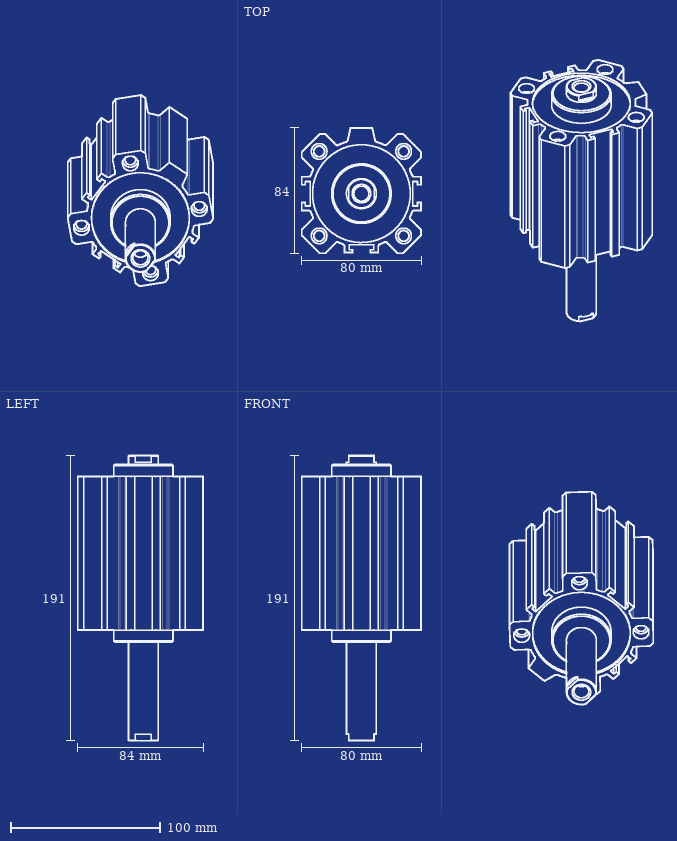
import cadquery as cq
import math


OVERALL_LENGTH = 191.0
HOUSING_LENGTH = 103.0
HOUSING_WIDTH = 80.0
HALF_WIDTH = HOUSING_WIDTH / 2
HOUSING_DEPTH = 84.0
CORE_RADIUS = 36.1
ROOT_TOLERANCE = 0.1
LOBE_FILLET = 1.0
RAIL_FILLET = 1.7

LOBE_ANGLES = (45, 135, 225, 315)
LOBE_WIDTH = 22.3
LOBE_FACE_WIDTH = 17.2
LOBE_FACE_RADIUS = HALF_WIDTH * math.sqrt(2) - LOBE_FACE_WIDTH / 2
HOLE_SPACING = 56.5
HOLE_DIAMETER = 7.0
COUNTERBORE_DIAMETER = 10.5
COUNTERBORE_DEPTH = 6.7

KEEL_TOP = HOUSING_DEPTH - HALF_WIDTH
KEEL_TOP_WIDTH = 14.7
KEEL_BASE_WIDTH = 19.9
KEEL_BASE_Y = 32.5

SIDE_RAIL_TIP = HALF_WIDTH
FRONT_RAIL_TIP = 39.5
RAILS = ((0, SIDE_RAIL_TIP), (180, SIDE_RAIL_TIP), (270, FRONT_RAIL_TIP))
RAIL_WIDTH = 22.7
SLOT_WIDTH = 16.2
SLOT_MOUTH = 11.8
SLOT_FLOOR = 34.4
LIP_INNER_FACE = 37.5

RECESS_DIAMETER = 65.5
RECESS_DEPTH = 2.0
COLLAR_DIAMETER = 40.0
COLLAR_HEIGHT = 8.0
COLLAR_CHAMFER = 1.0

ROD_DIAMETER = 20.0
ROD_TOP_STICKOUT = 6.0
ROD_TOP = HOUSING_LENGTH + COLLAR_HEIGHT + ROD_TOP_STICKOUT
ROD_BOTTOM = ROD_TOP - OVERALL_LENGTH
ROD_CHAMFER = 0.48
FLATS_WIDTH = 17.0
FLATS_LENGTH = 4.4
THREAD_DIAMETER = 10.1
THREAD_DEPTH = 15.3
THREAD_CHAMFER = 1.1
THREAD_CHAMFER_CONE_ANGLE = 90


def prism(width, inner_x, outer_x):
    """Full-length block centred on the X axis, from inner_x to outer_x."""
    return (
        cq.Workplane("XY")
        .box(outer_x - inner_x, width, HOUSING_LENGTH, centered=(False, True, False))
        .translate((inner_x, 0, 0))
    )


def spun(body, angle):
    """Body turned about the rod axis."""
    return body.rotate((0, 0, 0), (0, 0, 1), angle)


def cylinder(diameter, bottom, top):
    return cq.Workplane("XY").workplane(offset=bottom).circle(diameter / 2).extrude(top - bottom)


def make_lobe():
    """Corner lobe along +X, with its outer corners cut to the square envelope."""
    lobe_bevel = (LOBE_WIDTH - LOBE_FACE_WIDTH) / 2
    return prism(LOBE_WIDTH, 0, LOBE_FACE_RADIUS).edges("|Z and >X").chamfer(lobe_bevel)


def make_keel():
    return (
        cq.Workplane("XY")
        .polyline([
            (-KEEL_BASE_WIDTH / 2, KEEL_BASE_Y),
            (-KEEL_TOP_WIDTH / 2, KEEL_TOP),
            (KEEL_TOP_WIDTH / 2, KEEL_TOP),
            (KEEL_BASE_WIDTH / 2, KEEL_BASE_Y),
        ])
        .close()
        .extrude(HOUSING_LENGTH)
    )


def make_t_slot(rail_tip):
    """T-slot opening toward +X through the end of a rail."""
    channel = prism(SLOT_WIDTH, SLOT_FLOOR, LIP_INNER_FACE)
    return channel.union(prism(SLOT_MOUTH, SLOT_FLOOR, rail_tip))


def fillet_roots(profile, radius, at_lobes):
    """Fillet the upright edges on the core circle: those at the lobes, or those at the rails and keel."""
    rail_reach = (RAIL_WIDTH + LOBE_FILLET) / 2
    roots = []
    for edge in profile.edges("|Z").vals():
        x, y = edge.Center().x, edge.Center().y
        on_core = abs(math.hypot(x, y) - CORE_RADIUS) < ROOT_TOLERANCE
        beside_lobe = min(abs(x), abs(y)) > rail_reach
        if on_core and beside_lobe == at_lobes:
            roots.append(edge)
    return profile.newObject(roots).fillet(radius)


def make_profile():
    """Extruded housing section with filleted roots and T-slots."""
    profile = cylinder(2 * CORE_RADIUS, 0, HOUSING_LENGTH).union(make_keel())
    for angle in LOBE_ANGLES:
        profile = profile.union(spun(make_lobe(), angle))
    for angle, tip in RAILS:
        profile = profile.union(spun(prism(RAIL_WIDTH, 0, tip), angle))

    profile = fillet_roots(profile, LOBE_FILLET, at_lobes=True)
    profile = fillet_roots(profile, RAIL_FILLET, at_lobes=False)

    for angle, tip in RAILS:
        profile = profile.cut(spun(make_t_slot(tip), angle))
    return profile


def make_housing():
    housing = make_profile()

    for x in (-HOLE_SPACING / 2, HOLE_SPACING / 2):
        for y in (-HOLE_SPACING / 2, HOLE_SPACING / 2):
            hole = cylinder(HOLE_DIAMETER, 0, HOUSING_LENGTH)
            hole = hole.union(cylinder(COUNTERBORE_DIAMETER, 0, COUNTERBORE_DEPTH))
            hole = hole.union(
                cylinder(COUNTERBORE_DIAMETER, HOUSING_LENGTH - COUNTERBORE_DEPTH, HOUSING_LENGTH)
            )
            housing = housing.cut(hole.translate((x, y, 0)))

    housing = housing.cut(cylinder(RECESS_DIAMETER, 0, RECESS_DEPTH))
    housing = housing.cut(cylinder(RECESS_DIAMETER, HOUSING_LENGTH - RECESS_DEPTH, HOUSING_LENGTH))
    collars = cylinder(COLLAR_DIAMETER, -COLLAR_HEIGHT, HOUSING_LENGTH + COLLAR_HEIGHT)
    housing = housing.union(collars.faces("<Z or >Z").chamfer(COLLAR_CHAMFER))

    return housing.cut(cylinder(ROD_DIAMETER, ROD_BOTTOM, ROD_TOP))


def make_rod():
    rod = cylinder(ROD_DIAMETER, ROD_BOTTOM, ROD_TOP).faces("<Z or >Z").chamfer(ROD_CHAMFER)

    flats = (
        cq.Workplane("XY")
        .rect(2 * ROD_DIAMETER, 2 * ROD_DIAMETER)
        .rect(FLATS_WIDTH, 2 * ROD_DIAMETER)
        .extrude(FLATS_LENGTH)
    )
    rod = rod.cut(flats.translate((0, 0, ROD_BOTTOM)))
    rod = rod.cut(flats.translate((0, 0, ROD_TOP - FLATS_LENGTH)))

    mouth_diameter = THREAD_DIAMETER + 2 * THREAD_CHAMFER
    for end, end_z in ((">Z", ROD_TOP), ("<Z", ROD_BOTTOM)):
        rod = (
            rod.faces(end)
            .workplane(origin=(0, 0, end_z))
            .cskHole(THREAD_DIAMETER, mouth_diameter, THREAD_CHAMFER_CONE_ANGLE, THREAD_DEPTH)
        )
    return rod


housing = make_housing()
rod = make_rod()
result = cq.Compound.makeCompound([housing.val(), rod.val()])